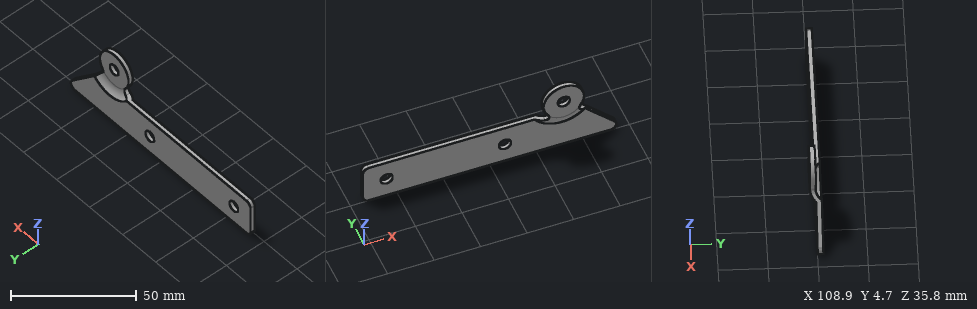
import cadquery as cq
import math

length = 108.9
total_height = 35.8
total_depth = 4.7
thickness = 2.3
plate_height = 19.0
corner_radius = 2.5
neck_fillet = 1.5
tab_radius = 8.7
hole_diameter = 5.1
plate_hole_xs = (10.1, 61.0)
dish_radius = 14.2

tab_z = total_height - tab_radius
tip_x = length + corner_radius * math.sqrt(2)
tab_x = tip_x - tab_z
slope_top_x = tip_x - plate_height
plate_front = total_depth - thickness

dish_width = dish_radius - tab_radius
outer_bend = (dish_width**2 + plate_front**2) / (2 * plate_front)
inner_bend = outer_bend - thickness
back_dish_radius = tab_radius + math.sqrt(inner_bend**2 - (outer_bend - total_depth) ** 2)


def prism(sketch):
    """Extrude an XZ outline through the whole depth, from Y = 0 to +Y."""
    return sketch.extrude(-total_depth)


def outline():
    """Full-depth silhouette of the plate and tab, with rounded corners and neck."""
    plate_points = [(0, 0), (tip_x, 0), (slope_top_x, plate_height), (0, plate_height)]
    plate = prism(cq.Workplane("XZ").polyline(plate_points).close())
    plate = plate.edges("|Y").edges("<X or <Z").fillet(corner_radius)
    tab = prism(cq.Workplane("XZ").center(tab_x, tab_z).circle(tab_radius))

    neck_left_x = tab_x - math.sqrt(tab_radius**2 - (tab_z - plate_height) ** 2)
    neck_points = [(neck_left_x, plate_height), (slope_top_x, plate_height), (tab_x, tab_z)]
    neck = prism(cq.Workplane("XZ").polyline(neck_points).close())
    body = plate.union(neck).union(tab).clean()

    rim_offset = tab_radius / math.sqrt(2)
    junctions = [(neck_left_x, plate_height), (tab_x + rim_offset, tab_z - rim_offset)]
    for x, z in junctions:
        nearest = cq.selectors.NearestToPointSelector((x, total_depth / 2, z))
        body = body.edges("|Y").edges(nearest).fillet(neck_fillet)
    return body


def bent_sheet():
    """Sheet of revolution about the tab axis: tab level, dished bend, plate level."""
    sheet_radius = 2 * length
    bend_sine = math.sin(math.pi / 8)
    bend_cosine = math.cos(math.pi / 8)
    outer_mid = (tab_radius + outer_bend * bend_sine, outer_bend * (1 - bend_cosine))
    inner_mid = (tab_radius + inner_bend * bend_sine, outer_bend - inner_bend * bend_cosine)
    profile = (
        cq.Workplane("XY")
        .lineTo(tab_radius, 0)
        .threePointArc(outer_mid, (dish_radius, plate_front))
        .lineTo(sheet_radius, plate_front)
        .lineTo(sheet_radius, total_depth)
        .lineTo(back_dish_radius, total_depth)
        .threePointArc(inner_mid, (tab_radius, thickness))
        .lineTo(0, thickness)
        .close()
    )
    return profile.revolve(360, (0, 0, 0), (0, 1, 0)).translate((tab_x, 0, tab_z))


def holes():
    """Through holes: two along the middle of the plate and one in the tab."""
    centres = [(x, plate_height / 2) for x in plate_hole_xs] + [(tab_x, tab_z)]
    return prism(cq.Workplane("XZ").pushPoints(centres).circle(hole_diameter / 2))


result = outline().intersect(bent_sheet()).cut(holes())